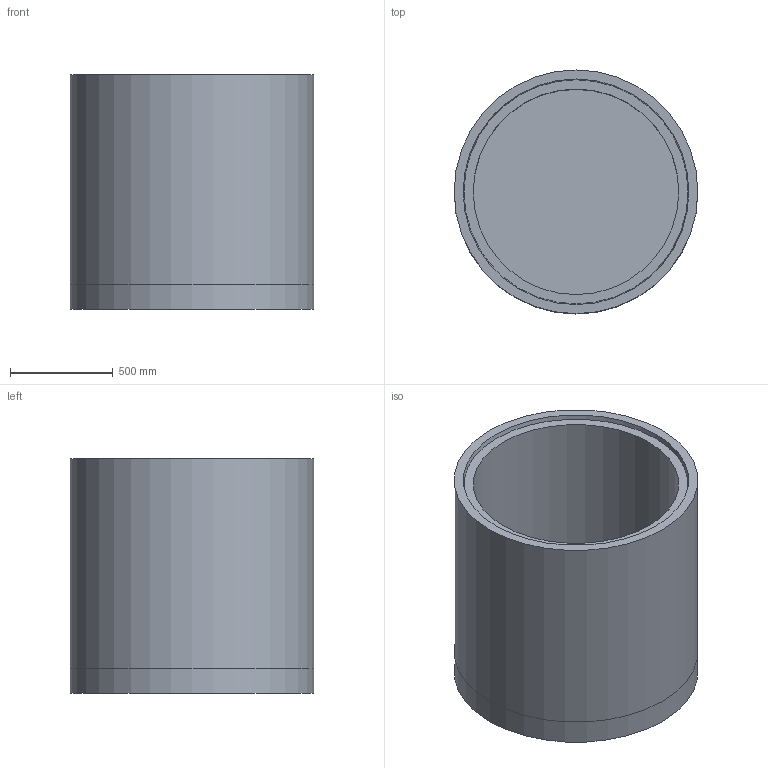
import cadquery as cq

outer_diameter = 1186.0
inner_diameter = 1000.0
total_height = 1143.0

floor_thickness = 120.0

step_top_diameter = 1098.0
step_bottom_diameter = 1090.0
step_depth = 23.0


def cylinder(diameter, bottom, top):
    """Upright cylinder on the Z axis."""
    return cq.Workplane("XY").workplane(offset=bottom).circle(diameter / 2).extrude(top - bottom)


def step_recess():
    """Slightly tapered recess that leaves a lower inner shoulder in the rim."""
    return (
        cq.Workplane("XY")
        .workplane(offset=total_height - step_depth)
        .circle(step_bottom_diameter / 2)
        .workplane(offset=step_depth)
        .circle(step_top_diameter / 2)
        .loft()
    )


floor_slab = cylinder(outer_diameter, 0, floor_thickness)
wall = cylinder(outer_diameter, floor_thickness, total_height)
bore = cylinder(inner_diameter, floor_thickness, total_height)
result = floor_slab.union(wall.cut(bore).cut(step_recess()), clean=False)